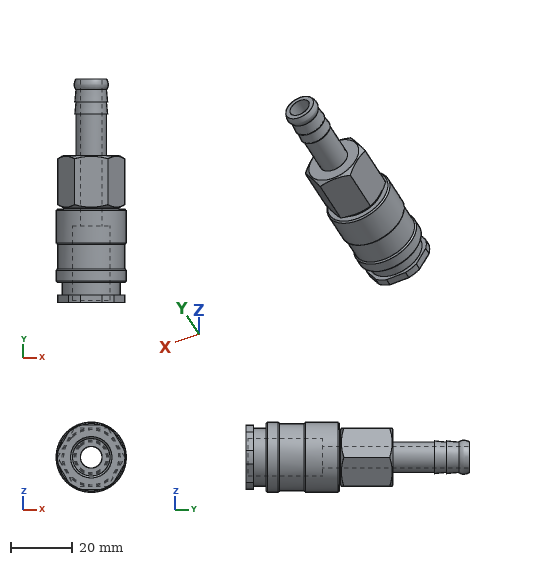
import cadquery as cq
import math


flange_back = 2.5
collar_front = 6.5
collar_back = 11.0
sleeve_front = 19.0
sleeve_back = 30.5
hex_front = 30.9
hex_back = 48.0
barb_front = 61.5
barb_pitch = 4.0
barb_count = 2
barb_back = barb_front + barb_count * barb_pitch
nose_crest = 71.1
overall_length = 73.0

flange_dia = 22.1
flange_flats = 21.0
spigot_dia = 19.0
sleeve_dia = 23.0
grip_dia = 22.0
neck_dia = 18.0
hex_flats = 19.0
stem_dia = 10.0
barb_dia = 10.8
nose_dia = 11.2
nose_end_dia = 10.1
edge_chamfer = 0.5
hex_face_dia = 18.2
hex_chamfer_angle = 30.0

socket_dia = 12.2
socket_mouth_dia = 13.5
socket_chamfer = (socket_mouth_dia - socket_dia) / 2
socket_depth = 25.0
bore_dia = 7.0


def along_axis(start):
    """Workplane normal to the part axis, facing +Y, at Y = start."""
    return cq.Workplane(cq.Plane(origin=(0, start, 0), xDir=(1, 0, 0), normal=(0, 1, 0)))


def cylinder(diameter, start, end):
    return along_axis(start).circle(diameter / 2).extrude(end - start)


def across_corners(across_flats):
    return across_flats / math.cos(math.radians(30))


def hexagon(across_flats, start, end):
    """Hexagonal prism with two of its flats facing +Z and -Z."""
    return along_axis(start).polygon(6, across_corners(across_flats)).extrude(end - start)


def revolve_about_axis(profile):
    """Solid of revolution of a closed profile drawn in the XY plane."""
    return profile.close().revolve(360, (0, 0, 0), (0, 1, 0))


def make_flange():
    """Round flange with six wrench flats."""
    return cylinder(flange_dia, 0, flange_back).intersect(hexagon(flange_flats, 0, flange_back))


def make_sleeve():
    """Spigot, collar, grip groove, locking sleeve and relief neck."""
    collar = cylinder(sleeve_dia, collar_front, collar_back).edges().chamfer(edge_chamfer)
    sleeve = cylinder(sleeve_dia, sleeve_front, sleeve_back).edges().chamfer(edge_chamfer)
    spigot = cylinder(spigot_dia, flange_back, collar_front)
    grip = cylinder(grip_dia, collar_front + edge_chamfer, sleeve_back - edge_chamfer)
    neck = cylinder(neck_dia, sleeve_back, hex_front)
    return spigot.union(collar).union(grip).union(sleeve).union(neck)


def make_hexagon():
    """Hexagon with its corners turned off conically at both ends."""
    corner_radius = across_corners(hex_flats) / 2
    end_radius = hex_face_dia / 2
    cone_length = (corner_radius - end_radius) * math.tan(math.radians(hex_chamfer_angle))
    envelope = revolve_about_axis(
        cq.Workplane("XY")
        .moveTo(0, hex_front)
        .lineTo(end_radius, hex_front)
        .lineTo(corner_radius, hex_front + cone_length)
        .lineTo(corner_radius, hex_back - cone_length)
        .lineTo(end_radius, hex_back)
        .lineTo(0, hex_back)
    )
    return hexagon(hex_flats, hex_front, hex_back).intersect(envelope)


def crest_arc_midpoint(end_radius, end_position):
    """Middle of the arc that is parallel to the axis at the nose crest and stops at the given end."""
    span = end_position - nose_crest
    drop = nose_dia / 2 - end_radius
    arc_radius = (span**2 + drop**2) / (2 * drop)
    half_angle = math.asin(abs(span) / arc_radius) / 2
    middle_radius = nose_dia / 2 - arc_radius * (1 - math.cos(half_angle))
    middle_position = nose_crest + math.copysign(arc_radius * math.sin(half_angle), span)
    return middle_radius, middle_position


def make_hose_tail():
    """Plain stem, tapered barbs and a rounded nose, as one turned profile."""
    stem_radius = stem_dia / 2
    nose_end_radius = nose_end_dia / 2
    nose_end = (nose_end_radius, overall_length)
    crest = (nose_dia / 2, nose_crest)
    profile = (
        cq.Workplane("XY")
        .moveTo(0, hex_back)
        .lineTo(stem_radius, hex_back)
        .lineTo(stem_radius, barb_front)
    )
    for barb in range(barb_count):
        barb_start = barb_front + barb * barb_pitch
        profile = profile.lineTo(barb_dia / 2, barb_start)
        profile = profile.lineTo(stem_radius, barb_start + barb_pitch)
    profile = (
        profile
        .threePointArc(crest_arc_midpoint(stem_radius, barb_back), crest)
        .threePointArc(crest_arc_midpoint(nose_end_radius, overall_length), nose_end)
        .lineTo(0, overall_length)
    )
    return revolve_about_axis(profile)


def make_bore():
    """Chamfered socket from the front face, stepping down to a through bore."""
    socket_radius = socket_dia / 2
    bore_radius = bore_dia / 2
    return revolve_about_axis(
        cq.Workplane("XY")
        .lineTo(socket_mouth_dia / 2, 0)
        .lineTo(socket_radius, socket_chamfer)
        .lineTo(socket_radius, socket_depth)
        .lineTo(bore_radius, socket_depth)
        .lineTo(bore_radius, overall_length)
        .lineTo(0, overall_length)
    )


result = (
    make_flange()
    .union(make_sleeve())
    .union(make_hexagon())
    .union(make_hose_tail())
    .cut(make_bore())
)